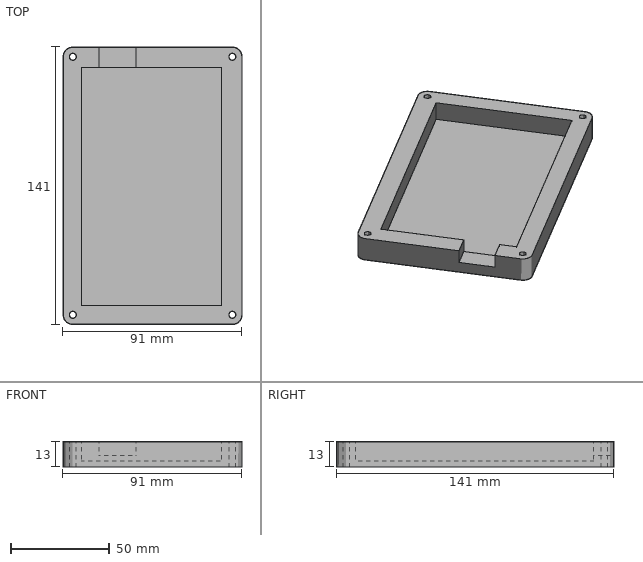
import cadquery as cq

width = 91.0
length = 141.0
height = 13.0
corner_radius = 5.0

left_wall = 9.5
front_wall = 9.6
pocket_width = 70.9
pocket_length = 121.0
pocket_depth = 10.0

notch_offset = 18.3
notch_width = 18.8
notch_depth = 7.0

hole_diameter = 3.4
hole_inset = 5.0


def box_from_top(x, y, size_x, size_y, depth):
    """Cutting box with its left front corner at (x, y), reaching down from the top face."""
    return cq.Workplane("XY").box(size_x, size_y, depth, centered=False).translate((x, y, height - depth))


body = cq.Workplane("XY").box(width, length, height, centered=False)
body = body.edges("|Z").fillet(corner_radius)

pocket = box_from_top(left_wall, front_wall, pocket_width, pocket_length, pocket_depth)

pocket_back = front_wall + pocket_length
notch = box_from_top(notch_offset, pocket_back, notch_width, length - pocket_back, notch_depth)

hole_centers = [
    (x, y)
    for x in (hole_inset, width - hole_inset)
    for y in (hole_inset, length - hole_inset)
]
holes = cq.Workplane("XY").pushPoints(hole_centers).circle(hole_diameter / 2).extrude(height)

result = body.cut(pocket).cut(notch).cut(holes)